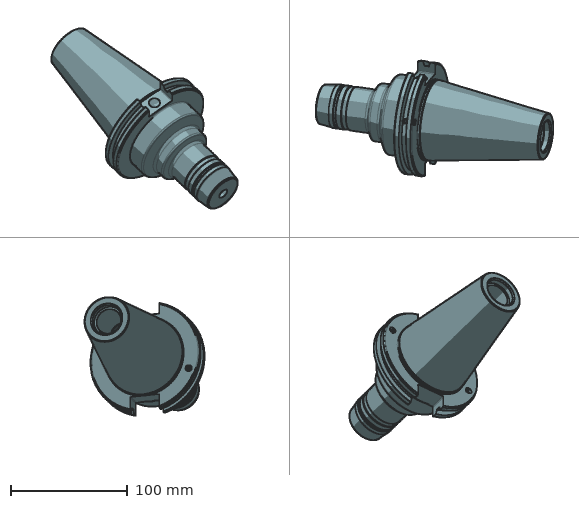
import cadquery as cq
import math

overall_length = 203.2
gauge_x = 101.5
relief_x = 102.5
flange_start_x = 104.9
flange_end_x = 121.0
step_start_x = 144.5
nose_x = 157.5

gauge_diameter = 70.0
taper_ratio = 7 / 24
taper_end_chamfer = 0.6
relief_diameter = 69.3

flange_diameter = 98.3
flange_chamfer = 1.0
flange_root_fillet = 0.6
groove_center_x = 112.8
groove_floor_diameter = 90.8
groove_floor_width = 3.7
groove_half_angle = 21

step_diameter = 50.4
nose_diameter = 38.0
shoulder_angle = 60
top_blend_radius = 2.0
foot_radius = 3.0

band_diameter = 37.0
bands = [(174.5, 179.5), (183.9, 186.7)]
tip_start_x = 191.0
tip_start_diameter = 37.5
tip_diameter = 34.5
tip_chamfer = 1.0

drill_half_angle = 59

mouth_diameter = 28.7
counterbore_diameter = 26.2
counterbore_depth = 5.9
thread_diameter = 22.0
thread_depth = 44.7
drill_diameter = 20.5
drill_depth = 56.9
pilot_diameter = 13.5
pilot_depth = 69.0
through_diameter = 9.0

slot_width = 26.2
slot_corner_radius = 0.6
upper_slot_floor = 37.5
lower_slot_floor = 35.2
dimple_diameter = 9.5

coolant_angle = 20
inlet_circle_radius = 42.0
inlet_slant = 32
inlet_diameter = 5.0
inlet_depth = 1.5
duct_diameter = 3.3
plug_seat_diameter = 4.0
plug_seat_depth = 2.0


def rise(run, angle):
    return run * math.tan(math.radians(angle))


def revolve_about_x(profile):
    return profile.close().revolve(360, (0, 0, 0), (1, 0, 0))


def circle_at(x):
    """Selector of the full circle about the X axis that lies at x."""
    tolerance = 0.02
    reach = flange_diameter
    return cq.selectors.BoxSelector(
        (x - tolerance, -reach, -reach), (x + tolerance, reach, reach), boundingbox=True
    )


def shoulder_body(start_x, end_x, large_diameter, small_diameter):
    """Turned body with a sloped shoulder, blended at top and foot; the foot blend ends at end_x.

    A short length of the small diameter follows, so that the foot has an edge to blend.
    """
    large_radius = large_diameter / 2
    small_radius = small_diameter / 2
    foot_run = rise(foot_radius, shoulder_angle / 2)
    foot_x = end_x - foot_run
    tail_x = end_x + foot_run
    top_x = foot_x - (large_radius - small_radius) / math.tan(math.radians(shoulder_angle))
    body = revolve_about_x(
        cq.Workplane("XY")
        .moveTo(start_x, 0)
        .lineTo(start_x, large_radius)
        .lineTo(top_x, large_radius)
        .lineTo(foot_x, small_radius)
        .lineTo(tail_x, small_radius)
        .lineTo(tail_x, 0)
    )
    body = body.edges(circle_at(top_x)).fillet(top_blend_radius)
    return body.edges(circle_at(foot_x)).fillet(foot_radius)


def taper_shank():
    """Steep taper up to the gauge line and the relieved neck behind the flange."""
    gauge_radius = gauge_diameter / 2
    end_radius = gauge_radius - gauge_x * taper_ratio / 2
    return revolve_about_x(
        cq.Workplane("XY")
        .lineTo(0, end_radius - taper_end_chamfer)
        .lineTo(taper_end_chamfer, end_radius + taper_end_chamfer * taper_ratio / 2)
        .lineTo(gauge_x, gauge_radius)
        .lineTo(relief_x, relief_diameter / 2)
        .lineTo(flange_start_x, relief_diameter / 2)
        .lineTo(flange_start_x, 0)
    )


def flange():
    """Flange with chamfered rims and a V-groove around it."""
    outer = flange_diameter / 2
    floor = groove_floor_diameter / 2
    half_floor = groove_floor_width / 2
    half_top = half_floor + rise(outer - floor, groove_half_angle)
    return revolve_about_x(
        cq.Workplane("XY")
        .moveTo(flange_start_x, 0)
        .lineTo(flange_start_x, outer - flange_chamfer)
        .lineTo(flange_start_x + flange_chamfer, outer)
        .lineTo(groove_center_x - half_top, outer)
        .lineTo(groove_center_x - half_floor, floor)
        .lineTo(groove_center_x + half_floor, floor)
        .lineTo(groove_center_x + half_top, outer)
        .lineTo(flange_end_x - flange_chamfer, outer)
        .lineTo(flange_end_x, outer - flange_chamfer)
        .lineTo(flange_end_x, 0)
    )


def nose():
    """Cylindrical nose with shallow bands and a tapered tip."""
    radius = nose_diameter / 2
    band_radius = band_diameter / 2
    edge = radius - band_radius
    tip_radius = tip_diameter / 2
    profile = cq.Workplane("XY").moveTo(nose_x, 0).lineTo(nose_x, radius)
    for start_x, end_x in bands:
        profile = (
            profile.lineTo(start_x, radius)
            .lineTo(start_x + edge, band_radius)
            .lineTo(end_x - edge, band_radius)
            .lineTo(end_x, radius)
        )
    return revolve_about_x(
        profile.lineTo(tip_start_x - edge, radius)
        .lineTo(tip_start_x, tip_start_diameter / 2)
        .lineTo(overall_length - tip_chamfer, tip_radius)
        .lineTo(overall_length, tip_radius - tip_chamfer)
        .lineTo(overall_length, 0)
    )


def axial_bore():
    """Stepped bore from the taper end, continuing as a through hole."""
    mouth_chamfer = (mouth_diameter - counterbore_diameter) / 2
    cone_slope = math.tan(math.radians(drill_half_angle))
    drill_cone = (drill_diameter - pilot_diameter) / 2 / cone_slope
    pilot_cone = (pilot_diameter - through_diameter) / 2 / cone_slope
    return revolve_about_x(
        cq.Workplane("XY")
        .lineTo(0, mouth_diameter / 2)
        .lineTo(mouth_chamfer, counterbore_diameter / 2)
        .lineTo(counterbore_depth, counterbore_diameter / 2)
        .lineTo(counterbore_depth, thread_diameter / 2)
        .lineTo(thread_depth, thread_diameter / 2)
        .lineTo(thread_depth, drill_diameter / 2)
        .lineTo(drill_depth, drill_diameter / 2)
        .lineTo(drill_depth + drill_cone, pilot_diameter / 2)
        .lineTo(pilot_depth, pilot_diameter / 2)
        .lineTo(pilot_depth + pilot_cone, through_diameter / 2)
        .lineTo(overall_length, through_diameter / 2)
        .lineTo(overall_length, 0)
    )


def drive_slot(floor):
    """Slot above the axis, open upwards, with rounded floor corners."""
    flange_width = flange_end_x - flange_start_x
    return (
        cq.Workplane("XY")
        .box(flange_width, slot_width, flange_diameter / 2, centered=(False, True, False))
        .edges("|X and <Z")
        .fillet(slot_corner_radius)
        .translate((flange_start_x, 0, floor))
    )


def dimple():
    """Conical dimple in the floor of the upper slot."""
    radius = dimple_diameter / 2
    depth = radius / math.tan(math.radians(drill_half_angle))
    cone = cq.Solid.makeCone(
        radius, 0, depth, cq.Vector(groove_center_x, 0, upper_slot_floor), cq.Vector(0, 0, -1)
    )
    return cq.Workplane(obj=cone)


def cylinder(diameter, start, direction, length):
    return cq.Workplane(obj=cq.Solid.makeCylinder(diameter / 2, length, start, direction))


def coolant_passage():
    """Slanted inlet and duct on the +Y side, and the stepped radial hole that meets them."""
    slant = math.radians(inlet_slant)
    inward = cq.Vector(math.cos(slant), -math.sin(slant), 0)
    outward = cq.Vector(0, 1, 0)
    inlet_center = cq.Vector(flange_start_x, inlet_circle_radius, 0)
    duct_length = (groove_center_x - flange_start_x) / math.cos(slant)
    meeting_point = inlet_center + inward * duct_length
    groove_floor = groove_floor_diameter / 2
    flange_radius = flange_diameter / 2
    seat_start = cq.Vector(groove_center_x, groove_floor - plug_seat_depth, 0)

    inlet = cylinder(
        inlet_diameter, inlet_center - inward * inlet_diameter, inward, inlet_diameter + inlet_depth
    )
    duct = cylinder(duct_diameter, inlet_center, inward, duct_length)
    radial = cylinder(duct_diameter, meeting_point, outward, flange_radius - meeting_point.y)
    seat = cylinder(plug_seat_diameter, seat_start, outward, flange_radius - seat_start.y)
    return inlet.union(duct).union(radial).union(seat)


def turned(shape, angle):
    return shape.rotate((0, 0, 0), (1, 0, 0), angle)


result = taper_shank().union(flange())
result = result.union(shoulder_body(flange_end_x, step_start_x, gauge_diameter, step_diameter))
result = result.union(shoulder_body(step_start_x, nose_x, step_diameter, nose_diameter))
result = result.union(nose())
for face_x in (flange_start_x, flange_end_x):
    result = result.edges(circle_at(face_x)).fillet(flange_root_fillet)
result = result.cut(axial_bore())
result = result.cut(drive_slot(upper_slot_floor))
result = result.cut(turned(drive_slot(lower_slot_floor), 180))
result = result.cut(dimple())
for side_angle in (0, 180):
    result = result.cut(turned(coolant_passage(), coolant_angle + side_angle))